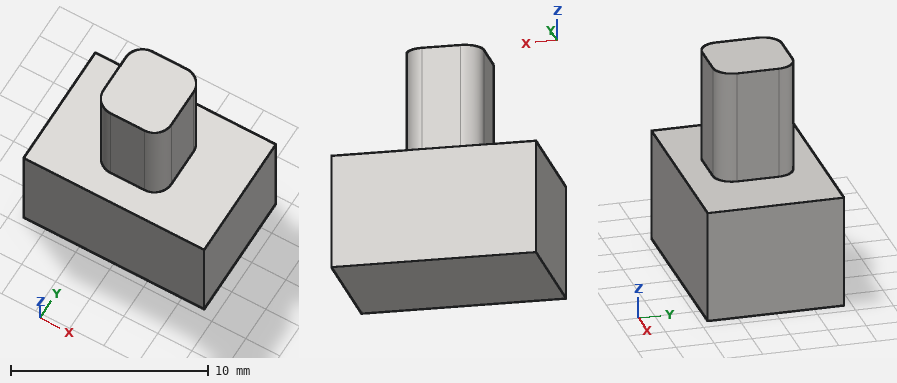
import cadquery as cq

base_length = 10.62
base_width = 7.18
base_height = 6.0

post_length = 4.0
post_width = 4.2
post_height = 6.0
post_corner_radius = 1.0
post_offset_x = -0.07

base = cq.Workplane("XY").box(base_length, base_width, base_height, centered=(True, True, False))

post = (
    cq.Workplane("XY", origin=(post_offset_x, 0, base_height))
    .box(post_length, post_width, post_height, centered=(True, True, False))
    .edges("|Z")
    .fillet(post_corner_radius)
)

result = base.union(post)